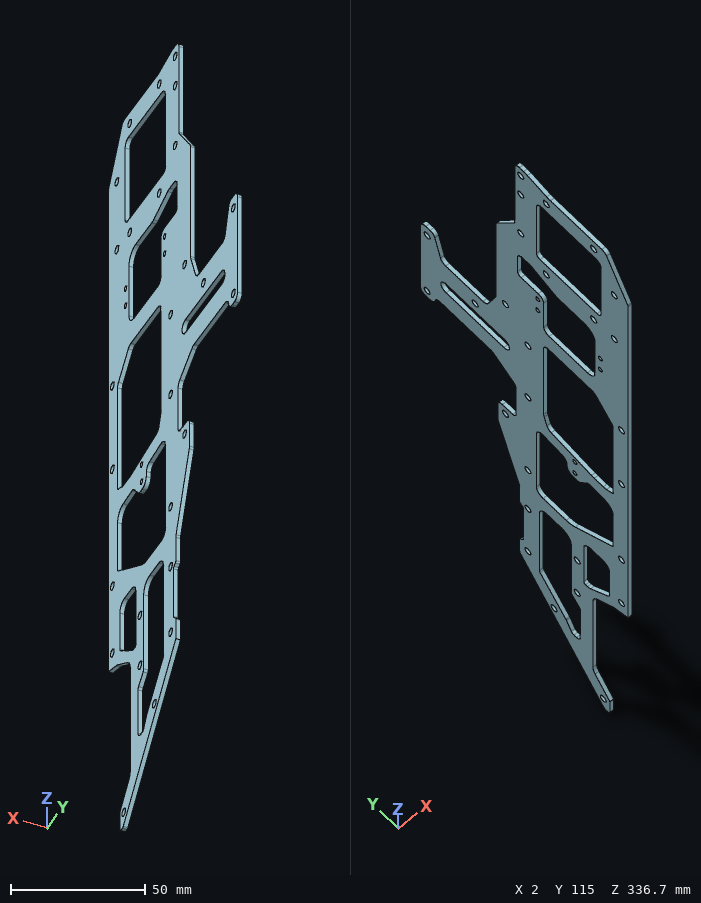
import cadquery as cq
import math

thickness = 2.0
height = 336.7
width = 115.0

screw_diameter = 3.2
pin_diameter = 2.1

shoulder_y = 63.0
back_y = 73.5
neck_y = 62.3
tail_back_y = 60.3
tail_relief_y = 58.2
tail_front_y = 19.5
tip_y = 10.0
arm_top_z = 229.0
arm_bottom_z = 178.0
window_front_y = 8.5
slim_back_y = 46.8
wide_back_y = 51.0


def rounded_outline(corners):
    """Closed outline through (y, z, radius) corners; a radius of 0 keeps the corner sharp."""
    path = None
    for index, (y, z, radius) in enumerate(corners):
        corner = cq.Vector(y, z)
        previous = cq.Vector(*corners[index - 1][:2])
        following = cq.Vector(*corners[(index + 1) % len(corners)][:2])
        to_previous = (previous - corner).normalized()
        to_following = (following - corner).normalized()
        half_angle = to_previous.getAngle(to_following) / 2
        setback = radius / math.tan(half_angle)
        start = corner + to_previous * setback
        path = path.lineTo(start.x, start.y) if path else cq.Workplane("YZ").moveTo(start.x, start.y)
        if radius > 0:
            end = corner + to_following * setback
            bisector = (to_previous + to_following).normalized()
            middle = corner + bisector * (radius / math.sin(half_angle) - radius)
            path = path.threePointArc((middle.x, middle.y), (end.x, end.y))
    return path.close()


def plate(corners):
    return rounded_outline(corners).extrude(thickness)


def drilled(points, diameter):
    return cq.Workplane("YZ").pushPoints(points).circle(diameter / 2).extrude(thickness)


frame = plate([
    (shoulder_y, height, 2.7),
    (57.0, height, 10),
    (44.0, 334.0, 10),
    (12.8, 334.0, 3.0),
    (0, 310.8, 1.7),
    (0, 82.8, 0),
    (8.0, 80.5, 6.7),
    (tail_front_y, 73.7, 5.5),
    (tail_front_y, 20.5, 5.5),
    (tip_y, 9.0, 0),
    (tip_y, 0, 1.5),
    (13.0, 0, 1.0),
    (tail_back_y, 56.0, 0),
    (tail_back_y, 65.5, 1.0),
    (tail_relief_y, 67.5, 1.0),
    (tail_relief_y, 91.0, 1.0),
    (tail_back_y, 92.3, 1.0),
    (tail_back_y, 104.5, 3.5),
    (72.5, 137.7, 3.5),
    (72.5, 152.0, 2.7),
    (neck_y, 152.0, 1.7),
    (neck_y, 174.7, 3.5),
    (75.5, 183.5, 3.5),
    (106.5, 183.5, 2.7),
    (107.7, arm_bottom_z, 3.5),
    (width, arm_bottom_z, 2.7),
    (width, arm_top_z, 3.0),
    (107.7, arm_top_z, 2.7),
    (103.5, 213.8, 3.0),
    (78.5, 213.8, 3.0),
    (back_y, 226.5, 3.5),
    (back_y, 279.8, 1.7),
    (shoulder_y, 293.0, 1.7),
])

top_window = plate([
    (wide_back_y, 323.0, 3.0),
    (15.0, 323.0, 3.0),
    (15.0, 284.0, 2.0),
    (wide_back_y, 284.0, 2.0),
])

stepped_window = plate([
    (61.3, 272.7, 2.7),
    (54.0, 272.7, 5.0),
    (39.7, 267.7, 5.0),
    (18.5, 267.7, 6.0),
    (18.5, 234.0, 4.0),
    (slim_back_y, 234.0, 3.0),
    (slim_back_y, 257.5, 3.0),
    (61.3, 257.5, 2.0),
])

middle_window = plate([
    (slim_back_y, 224.0, 2.5),
    (19.0, 224.0, 3.0),
    (window_front_y, 212.5, 3.0),
    (window_front_y, 163.3, 0),
    (12.8, 161.5, 5.0),
    (19.5, 161.5, 10),
    (44.5, 165.3, 3.0),
    (slim_back_y, 172.5, 5.0),
])

lugged_window = plate([
    (wide_back_y, 158.0, 3.5),
    (34.5, 156.0, 3.0),
    (33.7, 147.8, 3.7),
    (27.3, 147.8, 3.5),
    (22.2, 153.5, 1.7),
    (window_front_y, 152.5, 5.5),
    (window_front_y, 124.5, 1.0),
    (31.5, 111.5, 10),
    (wide_back_y, 111.5, 3.7),
])

tail_window = plate([
    (49.0, 102.5, 4.0),
    (31.5, 102.5, 5.5),
    (31.5, 61.3, 1.7),
    (26.5, 56.2, 1.7),
    (26.5, 33.0, 2.0),
    (31.0, 33.0, 1.7),
    (34.5, 38.7, 3.0),
    (49.0, 55.5, 1.7),
])

small_window = plate([
    (24.5, 107.5, 3.7),
    (10.5, 107.5, 4.0),
    (10.5, 85.5, 1.7),
    (21.5, 77.8, 3.0),
    (24.5, 77.8, 1.0),
])

slot_y = 85.0
slot_z = 197.5
slot_length = 38.0
slot_height = 6.0
slot = (
    cq.Workplane("YZ")
    .center(slot_y, slot_z)
    .slot2D(slot_length, slot_height)
    .extrude(thickness)
)

shoulder_column = [(59.5, z) for z in (331.5, 318.0, 289.5)]
window_pattern = [(y, z) for y in (45.5, 19.2) for z in (328.5, 277.0)]
upper_front_column = [(7.7, z) for z in (309.0, 277.0)]
front_column = [(3.7, z) for z in (215.5, 176.0, 121.0, 89.2)]
body_column = [(55.5, z) for z in (212.5, 174.7, 121.5, 93.3, 62.3)]
back_column = [(68.0, z) for z in (227.3, 147.0)]
arm_holes = [(111.5, 223.2), (111.5, 182.8), (85.0, 206.7)]
tail_holes = [(28.3, 89.5), (28.3, 66.0), (41.0, 38.7), (13.8, 6.7)]
screw_holes = drilled(
    shoulder_column + window_pattern + upper_front_column + front_column
    + body_column + back_column + arm_holes + tail_holes,
    screw_diameter,
)

step_pins = [(y, z) for y in (50.0, 15.5) for z in (253.2, 245.0)]
lug_pins = [(29.5, z) for z in (160.0, 152.0)]
pin_holes = drilled(step_pins + lug_pins, pin_diameter)

result = frame
for opening in (
    top_window, stepped_window, middle_window, lugged_window, tail_window, small_window,
    slot, screw_holes, pin_holes,
):
    result = result.cut(opening)